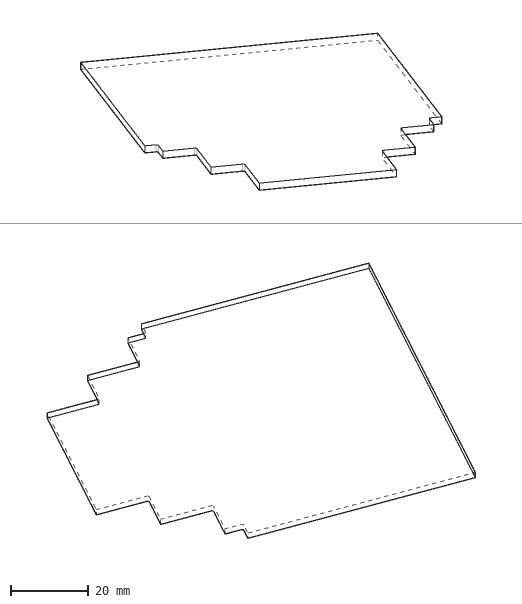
import cadquery as cq

length = 97.0
width = 80.0
thickness = 2.0

body_length = 63.0
steps = [
    (68.0, 73.0),
    (82.5, 55.0),
    (length, 37.0),
]
inner_corner_radius = 0.5


def plate_section(end_x, section_width):
    """Rectangular plate from X = 0 to end_x, centred on the X axis."""
    return cq.Workplane("XY").box(
        end_x, section_width, thickness, centered=(False, True, False)
    )


def stepped_plate():
    """Full-width body joined with the successively narrower, longer sections."""
    plate = plate_section(body_length, width)
    for end_x, section_width in steps:
        plate = plate.union(plate_section(end_x, section_width))
    return plate.clean()


def round_inner_corners(plate):
    """Fillet the upright edge at the root of every step, on both sides."""
    root_x = body_length
    corners = []
    for end_x, section_width in steps:
        for side in (-1, 1):
            corners.append((root_x, side * section_width / 2, thickness / 2))
        root_x = end_x
    for corner in corners:
        nearest_edge = cq.selectors.NearestToPointSelector(corner)
        plate = plate.edges("|Z").edges(nearest_edge).fillet(inner_corner_radius)
    return plate


result = round_inner_corners(stepped_plate())